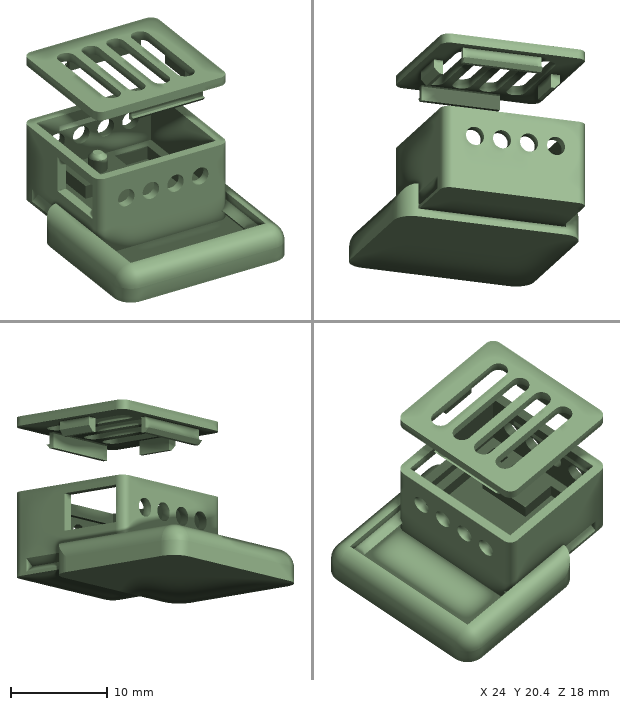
import cadquery as cq

housing_length = 15.0
housing_width = 16.0
housing_height = 9.0
wall = 1.0
corner_radius = 1.0
ledge_width = 1.0
ledge_top = 3.0
floor_top = 1.5
vent_diameter = 2.0
vent_pitch = 3.0
vent_count = 4
vent_height = 6.0
window_left = 7.0
window_bottom = 4.0
window_height = 3.98

slide_out = 7.0
tray_wall = 2.0
tray_side_gap = 0.2
tray_bottom = -1.0
tray_floor = 0.86
tray_height = 3.62

rail_center_height = 1.05
rail_height = 1.32
rail_depth = 0.95
rail_setback = 2.0
groove_height = 1.42
groove_depth = 0.95
groove_start = 1.82

lid_lift = 6.98
lid_thickness = 1.0
lid_slot_length = 11.0

hook_length = 8.7
hook_center_y = 1.1
hook_thickness = 0.5
hook_drop = 1.65
hook_root = 0.12
hook_barb_drop = 1.2
hook_barb_reach = 0.43

catch_length = 10.55
catch_depth = 0.6
catch_height = 0.6

tab_length = 3.98
tab_thickness = 1.0
tab_drop = 1.5
tab_chamfer = 0.6

board_length = 4.0
board_width = 6.0
board_thickness = 1.5
board_center_y = -1.0
post_x = 3.5
post_diameter = 2.0
post_height = 2.0
post_chamfer = 0.48

center_x = housing_length / 2
inner_length = housing_length - 2 * wall
inner_width = housing_width - 2 * wall
lid_bottom = housing_height + lid_lift
tray_inner_width = housing_width + 2 * tray_side_gap
tray_width = tray_inner_width + 2 * tray_wall
tray_inner_right = slide_out + housing_length
tray_right = tray_inner_right + tray_wall
tray_floor_top = tray_bottom + tray_floor
tray_top = tray_bottom + tray_height
board_top = floor_top + board_thickness
vent_places = [(i - (vent_count - 1) / 2) * vent_pitch for i in range(vent_count)]


def block(x_min, x_max, y_min, y_max, z_min, z_max):
    """Box between the given limits."""
    size = (x_max - x_min, y_max - y_min, z_max - z_min)
    return cq.Workplane("XY").box(*size, centered=False).translate((x_min, y_min, z_min))


def rounded_plate(z_bottom, thickness):
    """Plate with the housing's rounded outline."""
    plate = cq.Workplane("XY").box(housing_length, housing_width, thickness, centered=(True, True, False))
    return plate.edges("|Z").fillet(corner_radius).translate((center_x, 0, z_bottom))


def v_bars(wall_y, depth, height, x_min, x_max):
    """Two triangular bars along X that point inward from Y = -wall_y and Y = wall_y."""
    profile = [
        (-wall_y, rail_center_height - height / 2),
        (-wall_y + depth, rail_center_height),
        (-wall_y, rail_center_height + height / 2),
    ]
    bar = cq.Workplane("YZ").polyline(profile).close().extrude(x_max - x_min).translate((x_min, 0, 0))
    return bar.union(bar.mirror("XZ"))


def mirror_to_right(body):
    """Copy of a body on the opposite side of the housing's middle."""
    return body.mirror("YZ", (center_x, 0, 0))


def make_catch():
    """Notch cutter in the left wall that takes a hook's barb when the lid is closed."""
    top = housing_height - hook_barb_drop
    profile = [
        (wall, top),
        (wall - catch_depth, top),
        (wall, top - catch_height),
    ]
    catch = cq.Workplane("XZ").polyline(profile).close().extrude(catch_length / 2, both=True)
    return catch.translate((0, hook_center_y, 0))


def make_housing():
    housing = rounded_plate(0, housing_height)

    upper = cq.Workplane("XY").box(inner_length, inner_width, housing_height, centered=(True, True, False))
    housing = housing.cut(upper.translate((center_x, 0, ledge_top)))
    lower = cq.Workplane("XY").box(
        inner_length - 2 * ledge_width,
        inner_width - 2 * ledge_width,
        housing_height,
        centered=(True, True, False),
    )
    housing = housing.cut(lower.translate((center_x, 0, floor_top)))

    vents = (
        cq.Workplane("YZ")
        .pushPoints([(y, vent_height) for y in vent_places])
        .circle(vent_diameter / 2)
        .extrude(housing_length)
    )
    housing = housing.cut(vents)

    window = block(
        window_left,
        housing_length - wall,
        -housing_width / 2,
        -inner_width / 2,
        window_bottom,
        window_bottom + window_height,
    )
    housing = housing.cut(window)

    housing = housing.cut(v_bars(housing_width / 2, groove_depth, groove_height, groove_start, housing_length))

    catch = make_catch()
    return housing.cut(catch).cut(mirror_to_right(catch))


def make_tray():
    depth = tray_right - slide_out
    half_width = tray_width / 2
    body = block(0, tray_right, -half_width, half_width, tray_bottom, tray_top)
    body = body.edges("(|Z and >X) or (>Z and (not <X))").fillet(tray_wall)
    outline = block(slide_out, slide_out + 2 * depth, -half_width, half_width, tray_bottom, tray_top)
    body = body.intersect(outline.edges("|Z and <X").fillet(tray_wall))

    half_pocket = tray_inner_width / 2
    body = body.cut(block(0, tray_inner_right, -half_pocket, half_pocket, tray_floor_top, tray_top))
    rails = v_bars(half_pocket, rail_depth, rail_height, slide_out + rail_setback, tray_inner_right)
    return body.union(rails)


def make_lid():
    slots = (
        cq.Workplane("XY")
        .pushPoints([(center_x, y) for y in vent_places])
        .slot2D(lid_slot_length, vent_diameter)
        .extrude(lid_thickness)
        .translate((0, 0, lid_bottom))
    )
    return rounded_plate(lid_bottom, lid_thickness).cut(slots)


def make_hook():
    """Left snap hook, with its barb pointing outward and a flared root under the lid."""
    barb_top = lid_bottom - hook_barb_drop
    inner_face = wall + hook_thickness
    profile = [
        (wall, lid_bottom),
        (wall, barb_top),
        (wall - hook_barb_reach, barb_top),
        (wall, lid_bottom - hook_drop),
        (inner_face, lid_bottom - hook_drop),
        (inner_face, lid_bottom - hook_root),
        (inner_face + hook_root, lid_bottom),
    ]
    hook = cq.Workplane("XZ").polyline(profile).close().extrude(hook_length / 2, both=True)
    return hook.translate((0, hook_center_y, 0))


def make_tab():
    """Front guide tab, chamfered at its outer lower edge."""
    front = -inner_width / 2
    tab = block(
        center_x - tab_length / 2,
        center_x + tab_length / 2,
        front,
        front + tab_thickness,
        lid_bottom - tab_drop,
        lid_bottom,
    )
    return tab.edges("<Y and <Z").chamfer(tab_chamfer)


def make_board():
    """Block on the floor, against the left ledge."""
    board = cq.Workplane("XY").box(board_length, board_width, board_thickness, centered=(False, True, False))
    return board.translate((wall + ledge_width, board_center_y, floor_top))


def make_post():
    """Round post on the block, chamfered at its top."""
    post = cq.Workplane("XY").circle(post_diameter / 2).extrude(post_height)
    post = post.faces(">Z").chamfer(post_chamfer)
    return post.translate((post_x, board_center_y, board_top))


housing = make_housing()
tray = make_tray()
lid = make_lid()
left_hook = make_hook()
hooks = [left_hook, mirror_to_right(left_hook)]
front_tab = make_tab()
tabs = [front_tab, front_tab.mirror("XZ")]
board = make_board()
post = make_post()

result = cq.Compound.makeCompound(
    [housing.val(), tray.val(), lid.val()]
    + [hook.val() for hook in hooks]
    + [tab.val() for tab in tabs]
    + [board.val(), post.val()]
)